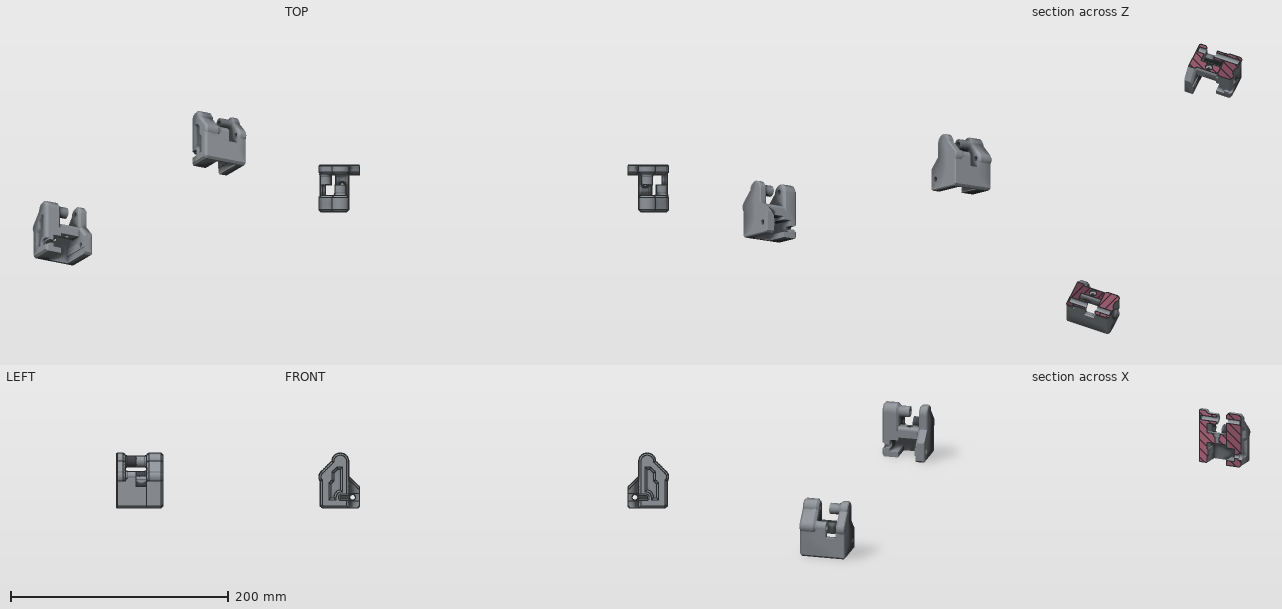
import cadquery as cq
import math


span = 322.13
depth = 43.0
height = 50.72

front_inner = 15.2
rear_inner = 34.7
gap_middle = (front_inner + rear_inner) / 2
edge_chamfer = 2.0
rear_chamfer = 0.9

upper_radius = 7.85
upper_x = 19.8
upper_z = height - upper_radius
lower_radius = 6.4
lower_x = lower_radius
lower_z = 28.75
barrel_radius = 5.1
collar_radius = 5.7
collar_length = 2.0
bore_radius = 2.6
bore_end_wall = 1.5

wall_x = lower_x - barrel_radius
inner_x = upper_x + upper_radius
lobe_foot_z = lower_z - math.sqrt(lower_radius**2 - barrel_radius**2)

wall_thickness = 5.0
clearance_radius = 8.9
clearance_ledge = 2.0

beam_width = 12.1
beam_top = 29.3
beam_bottom = 19.5
beam_fillet = 3.0
screw_x = inner_x - beam_width / 2
screw_radius = 1.7
head_radius = 3.1
head_depth = 3.0

leg_end_x = 37.7
leg_end_z = 19.2
leg_hole_x = 31.05
leg_hole_radius = 2.6
slot_z = 9.85
ridge_height = 7.0
ridge_rise = 0.8

channel_bottom = 5.0
channel_top = 16.6
channel_depth = 8.0
slot_x = 21.1

recess_depth = 2.0
recess_outer_x = 9.2
recess_step_x = 12.1
recess_inner_x = 21.8
recess_top_z = 37.7
recess_bottom_z = 7.4
recess_step_z = 23.0
recess_top_bevel = 4.5
recess_arc_radius = head_radius + recess_depth


def box(x0, x1, y0, y1, z0, z1):
    return cq.Workplane("XY").box(x1 - x0, y1 - y0, z1 - z0, centered=False).translate((x0, y0, z0))


def rod(x, z, radius, y0, y1):
    """Cylinder along Y."""
    return cq.Workplane("XZ", origin=(x, y0, z)).circle(radius).extrude(y0 - y1)


def plate_outline(y):
    """Side outline of a plate: foot, straight inner edge, upper lobe, 45 degree slope, lower lobe."""
    half_root = math.sqrt(0.5)
    tangent_x = lower_x - lower_radius * half_root
    tangent_z = lower_z + lower_radius * half_root
    rise = (tangent_z - upper_z) - (tangent_x - upper_x)
    t = (-rise - math.sqrt(2 * upper_radius**2 - rise**2)) / 2
    return (
        cq.Workplane("XZ", origin=(0, y, 0))
        .moveTo(wall_x + edge_chamfer, 0)
        .lineTo(inner_x, 0)
        .lineTo(inner_x, upper_z)
        .threePointArc((upper_x, height), (upper_x + t, upper_z + t + rise))
        .lineTo(tangent_x, tangent_z)
        .threePointArc((lower_x - lower_radius, lower_z), (wall_x, lobe_foot_z))
        .lineTo(wall_x, edge_chamfer)
        .close()
    )


def plate(y0, y1, front_bevel, back_bevel):
    """Plate with bevelled rims on both faces."""
    blank = plate_outline(y0).extrude(y0 - y1)
    blank = blank.faces("<Y").edges().chamfer(front_bevel)
    return blank.faces(">Y").edges().chamfer(back_bevel)


def lower_block(x1, y0, y1):
    """Square-edged lower part, from the outer wall face to x1, bevelled along its foot."""
    block = box(wall_x, x1, y0, y1, 0, lobe_foot_z)
    return block.edges("<X and <Z").chamfer(edge_chamfer)


def barrel(x, z, root_y):
    """Half-gap barrel with a tapered collar at its root."""
    toward_middle = math.copysign(1, gap_middle - root_y)
    length = abs(gap_middle - root_y)
    profile = [
        (0, root_y),
        (collar_radius, root_y),
        (barrel_radius, root_y + toward_middle * collar_length),
        (barrel_radius, root_y + toward_middle * length),
        (0, gap_middle),
    ]
    solid = cq.Workplane("XY").polyline(profile).close().revolve(360, (0, 0, 0), (0, 1, 0))
    return solid.translate((x, 0, z))


def bores():
    """Blind pin bores on both pivots."""
    start = bore_end_wall
    end = depth - bore_end_wall
    upper = rod(upper_x, upper_z, bore_radius, start, end)
    return upper.union(rod(lower_x, lower_z, bore_radius, start, end))


def face_recess():
    """Recess with 45 degree walls; its lower inner corner curves around the screw slot."""
    step_bevel = recess_step_x - recess_outer_x
    diagonal = recess_arc_radius * math.sqrt(0.5)
    return (
        cq.Workplane("XZ")
        .moveTo(recess_outer_x, recess_bottom_z)
        .lineTo(slot_x - recess_arc_radius, recess_bottom_z)
        .lineTo(slot_x - recess_arc_radius, slot_z)
        .threePointArc((slot_x - diagonal, slot_z + diagonal), (slot_x, slot_z + recess_arc_radius))
        .lineTo(recess_inner_x, slot_z + recess_arc_radius)
        .lineTo(recess_inner_x, recess_top_z)
        .lineTo(recess_step_x + recess_top_bevel, recess_top_z)
        .lineTo(recess_step_x, recess_top_z - recess_top_bevel)
        .lineTo(recess_step_x, recess_step_z + step_bevel)
        .lineTo(recess_outer_x, recess_step_z)
        .close()
        .extrude(-recess_depth, taper=45)
    )


def screw_slot(radius, y1):
    """Slot with a round end, open at the inner edge of the front plate."""
    straight = box(slot_x, inner_x, 0, y1, slot_z - radius, slot_z + radius)
    return rod(slot_x, slot_z, radius, 0, y1).union(straight)


def front_plate(upper_barrel_in_front):
    body = plate(0, front_inner, edge_chamfer, edge_chamfer)
    body = body.union(lower_block(inner_x, front_inner - edge_chamfer, front_inner))
    if upper_barrel_in_front:
        body = body.union(barrel(upper_x, upper_z, front_inner))
    channel_start = wall_x + wall_thickness
    channel_y = front_inner - channel_depth
    body = body.cut(box(channel_start, inner_x, channel_y, front_inner, channel_bottom, channel_top))
    body = body.cut(screw_slot(head_radius, head_depth)).cut(screw_slot(screw_radius, channel_y))
    return body.cut(face_recess()).cut(bores())


def leg():
    """Leg of the rear plate that runs inward, with a sloped top, a ridge and a cross hole."""
    top_z = leg_end_z + leg_end_x - inner_x
    start_x = wall_x + wall_thickness
    body = (
        cq.Workplane("XZ", origin=(0, rear_inner, 0))
        .moveTo(start_x, 0)
        .lineTo(leg_end_x - edge_chamfer, 0)
        .lineTo(leg_end_x, edge_chamfer)
        .lineTo(leg_end_x, leg_end_z)
        .lineTo(inner_x, top_z)
        .lineTo(start_x, top_z)
        .close()
        .extrude(rear_inner - depth)
    )
    slope_rim = cq.selectors.BoxSelector(
        (inner_x, rear_inner - 1, leg_end_z), (leg_end_x, rear_inner + 1, top_z)
    )
    body = body.edges(slope_rim).chamfer(edge_chamfer)
    body = body.faces(">Y").edges(">X or <Z").chamfer(rear_chamfer)
    half_ridge = ridge_height / 2
    ridge_y = rear_inner - ridge_rise
    body = body.union(
        box(start_x, leg_end_x, ridge_y, rear_inner, slot_z - half_ridge, slot_z + half_ridge)
    )
    return body.cut(rod(leg_hole_x, slot_z, leg_hole_radius, ridge_y, depth))


def outer_wall(free_y0, free_y1):
    """Wall along the outer edge; between the two Y values it clears the mating hinge's barrel."""
    wall = box(wall_x, wall_x + wall_thickness, front_inner, rear_inner, 0, lower_z)
    wall = wall.edges("<X and <Z").chamfer(edge_chamfer)
    wall = wall.cut(rod(lower_x, lower_z, clearance_radius, free_y0, free_y1))
    ledge_z = lower_z - clearance_radius
    return wall.cut(box(wall_x, wall_x + clearance_ledge, free_y0, free_y1, ledge_z, lower_z))


def beam():
    """Round-topped beam between the plates, with a vertical counterbored hole at mid-gap."""
    body = box(inner_x - beam_width, inner_x, front_inner, rear_inner, beam_bottom, beam_top)
    body = body.edges("|Y and >Z").fillet(beam_fillet)
    top = cq.Workplane("XY", origin=(screw_x, gap_middle, beam_top))
    return body.cut(top.circle(head_radius).extrude(-head_depth)).cut(
        top.circle(screw_radius).extrude(beam_bottom - beam_top)
    )


def rear_frame(upper_barrel_in_front):
    body = plate(rear_inner, depth, edge_chamfer, rear_chamfer)
    body = body.union(lower_block(inner_x, rear_inner, rear_inner + edge_chamfer))
    body = body.union(leg()).union(beam())
    if upper_barrel_in_front:
        body = body.union(outer_wall(front_inner, gap_middle))
        body = body.union(barrel(lower_x, lower_z, rear_inner))
    else:
        body = body.union(outer_wall(gap_middle, rear_inner))
        body = body.union(barrel(lower_x, lower_z, front_inner))
        body = body.union(barrel(upper_x, upper_z, rear_inner))
    return body.cut(bores())


bodies = []
for make_body in (front_plate, rear_frame):
    left = make_body(True).translate((-span / 2, 0, 0))
    right = make_body(False).translate((-span / 2, 0, 0)).mirror("YZ")
    bodies.extend([left.val(), right.val()])

result = cq.Compound.makeCompound(bodies)